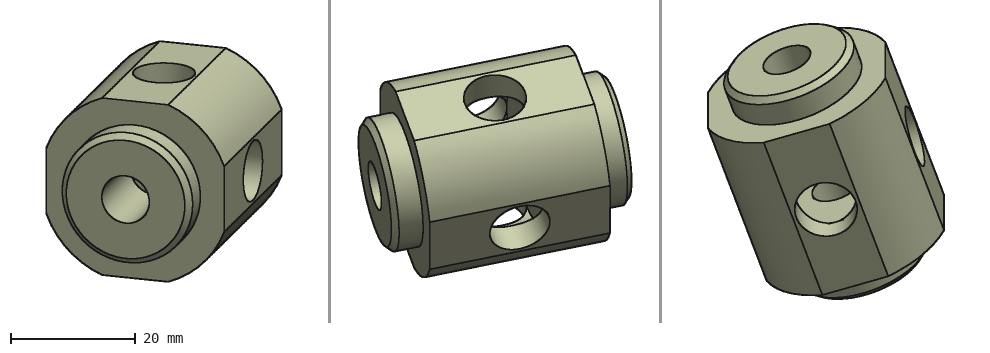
import cadquery as cq

total_length = 40.0
body_length = 30.0
body_diameter = 32.0
across_flats = 30.0

journal_diameter = 22.0
journal_chamfer = 1.0
journal_length = 15.0

bore_diameter = 8.0
cross_hole_diameter = 10.0


def centred_cylinder(plane, diameter, length):
    """Cylinder through the origin, along the normal of the given plane."""
    return cq.Workplane(plane).circle(diameter / 2).extrude(length / 2, both=True)


flats = cq.Workplane("XY").box(across_flats, body_length, across_flats)
body = centred_cylinder("XZ", body_diameter, body_length).intersect(flats)

journals = centred_cylinder("XZ", journal_diameter, total_length)
journals = journals.faces("<Y or >Y").chamfer(journal_chamfer)

result = body.union(journals)

chamber_length = total_length - 2 * journal_length
result = result.cut(centred_cylinder("XZ", journal_diameter, chamber_length))

result = result.cut(centred_cylinder("XZ", bore_diameter, total_length))

for plane in ("XY", "YZ"):
    result = result.cut(centred_cylinder(plane, cross_hole_diameter, across_flats))